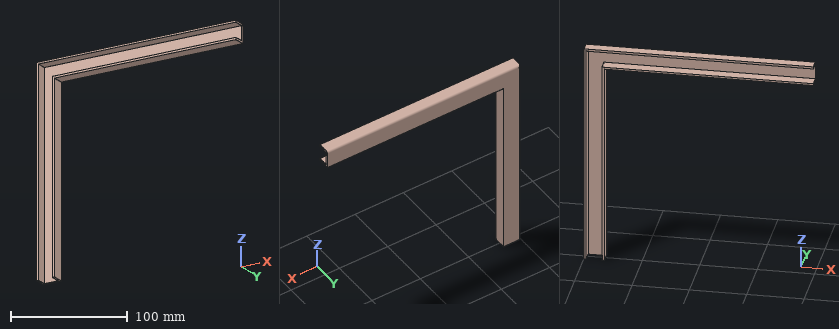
import cadquery as cq

length = 200.0
depth = 12.0
width = 18.0
lip = 2.0
root = 2.2
web = 2.5
edge_radius = 2.5


def angle_outline(y, outer_offset, inner_offset):
    """L-shaped wire at height y, between offsets from the outer left and top faces."""
    points = [
        (outer_offset, 0),
        (outer_offset, length - outer_offset),
        (length, length - outer_offset),
        (length, length - inner_offset),
        (inner_offset, length - inner_offset),
        (inner_offset, 0),
    ]
    corners = [cq.Vector(x, y, z) for x, z in points]
    return cq.Wire.makePolygon(corners, close=True)


outline = angle_outline(0, 0, width)
body = cq.Workplane(cq.Solid.extrudeLinear(outline, [], cq.Vector(0, depth, 0)))
body = body.faces("<X or >Z").edges(">Y").fillet(edge_radius)

front_outline = angle_outline(0, lip, width - lip)
floor_outline = angle_outline(depth - web, root, width - root)
channel = cq.Solid.makeLoft([front_outline, floor_outline], True)

result = body.cut(cq.Workplane(channel))